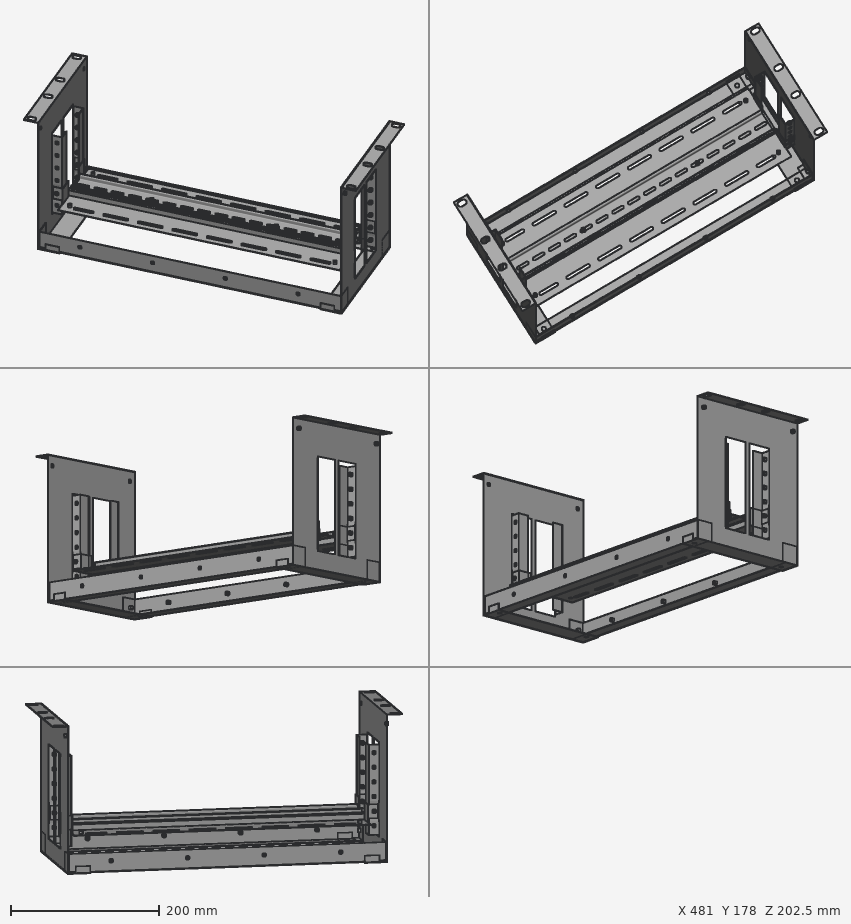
import cadquery as cq

length = 481.0
depth = 178.0
height = 202.5
sheet = 1.0

ear_width = 20.5
foot_width = 31.0
web_x = -length / 2 + ear_width
web_inner_x = web_x + sheet
lip_start = 10.5
lip_height = 10.0

rack_slot_length = 12.5
rack_slot_width = 7.5
rack_slot_inset = 9.0
rack_slot_inner_y = 22.0
rack_slot_outer_y = 82.3

window_bottom = 26.0
window_top = 155.5
window_inner_y = 3.6
window_outer_y = 38.5
window_gap = 3.0

post_face_y = window_outer_y + sheet
post_leg_x = 14.5
post_end_y = 22.5
post_bottom = window_bottom + window_gap
post_top = window_top - window_gap
post_hole_first_z = 41.5
post_hole_last_z = 141.5
post_hole_count = 6
post_hole_pitch = (post_hole_last_z - post_hole_first_z) / (post_hole_count - 1)
post_hole_x = web_inner_x + (post_leg_x - sheet) / 2
bracket_hole = 1
bracket_z = post_hole_first_z + bracket_hole * post_hole_pitch

joggle_depth = 0.5
joggle_flat = 19.0
joggle_slope = 4.5

bush_diameter = 5.5
bush_hole = 3.0
bush_height = 3.5
web_bush_height = 3.0
web_bush_y = 79.5
web_bush_z = height - 14.5

rail_y = -depth / 2 + sheet
rail_top = 27.5
rail_width = 18.8
rail_end = web_inner_x
rail_tab_width = 24.5
rail_foot_length = lip_start - sheet
rail_bush_offset = -2.0
rail_bush_pitch = 105.5
rail_bush_count = 4
rail_bush_z = 16.0
corner_y = -depth / 2 + 11.5
corner_hole_x = 199.5
corner_hole_diameter = 6.0
corner_stud_z = 14.5

plate_length = 408.0
plate_width = 111.5
plate_bottom = 45.5
plate_rise = 9.0
plate_middle_width = 33.5
wing_bush_x = 192.0
wing_bush_y = 42.5
wing_slot_y = 44.0
wing_slot_width = 4.5
wing_slot_length = 36.0
wing_end_slot_length = 29.0
wing_slot_pitch = 50.0
wing_slot_count = 8
bracket_clearance = 1.5
bracket_end_y = 18.5
stud_overhang = 1.5
stud_head_diameter = 6.0
stud_head_height = 0.5
middle_bush_x = 90.0

hat_length = 401.0
hat_width = 34.5
hat_channel = 26.5
hat_bend = 1.0
hat_height = 7.0
hat_sheet = 1.0
hat_slot_length = 18.0
hat_slot_width = 4.5
hat_slot_pitch = 25.0
hat_slot_count = 16
hat_slot_offset = -2.0
hat_bush_clearance = 6.5
hat_bottom = plate_bottom + plate_rise


def block(x0, x1, y0, y1, z0, z1):
    """Box between the given limits."""
    return cq.Workplane("XY").box(x1 - x0, y1 - y0, z1 - z0, centered=False).translate((x0, y0, z0))


def rod(start, direction, diameter, reach):
    """Cylinder starting at a point and running along a direction."""
    return cq.Workplane(cq.Solid.makeCylinder(diameter / 2, reach, cq.Vector(*start), cq.Vector(*direction)))


def slot(x, y, slot_length, slot_width, z0, z1):
    """Round-ended cutter running along X."""
    return (cq.Workplane("XY", origin=(x, y, z0))
            .slot2D(slot_length, slot_width).extrude(z1 - z0))


def add_bush(body, face, direction, reach=bush_height):
    """Bush standing on a sheet at the point face, bored through the bush and the sheet."""
    back = tuple(f - d * sheet for f, d in zip(face, direction))
    body = body.union(rod(face, direction, bush_diameter, reach))
    return body.cut(rod(back, direction, bush_hole, sheet + reach))


def mirrored_pair(body, plane):
    """The body joined to its mirror image."""
    return body.union(body.mirror(plane))


def row(count, pitch, middle=0.0):
    """Evenly spaced positions around a middle."""
    return [middle + (i - (count - 1) / 2) * pitch for i in range(count)]


def front_post():
    """Front L-shaped post of the left side plate, joggled inwards behind the bracket."""
    face_y = -post_face_y
    corner_x = web_inner_x + post_leg_x
    flat = joggle_flat / 2
    ramp = flat + joggle_slope
    outline = [(face_y, post_bottom), (face_y, bracket_z - ramp),
               (face_y + joggle_depth, bracket_z - flat), (face_y + joggle_depth, bracket_z + flat),
               (face_y, bracket_z + ramp), (face_y, post_top)]
    back = [(y + sheet, z) for y, z in reversed(outline)]
    fixing_leg = (cq.Workplane("YZ", origin=(web_inner_x, 0, 0))
                  .polyline(outline + back).close().extrude(post_leg_x))
    recess = (cq.Workplane("YZ", origin=(web_inner_x, 0, 0))
              .polyline(outline[1:5]).close().extrude(post_leg_x))
    stiffening_leg = block(corner_x - sheet, corner_x, face_y, -post_end_y, post_bottom, post_top)
    post = fixing_leg.union(stiffening_leg.cut(recess))
    for i in range(post_hole_count):
        z = post_hole_first_z + i * post_hole_pitch
        inner_y = face_y + sheet
        if i == bracket_hole:
            inner_y += joggle_depth
        post = add_bush(post, (post_hole_x, inner_y, z), (0, 1, 0))
    return post


def left_side_plate():
    """Rack flange, windowed web, foot and posts in one folded sheet."""
    y = depth / 2
    web = block(web_x, web_inner_x, -y, y, 0, height)
    ear = block(-length / 2, web_x, -y, y, height - sheet, height)
    foot = block(web_x, web_x + foot_width, -y, y, 0, sheet)
    plate = web.union(ear).union(foot)

    slot_x = -length / 2 + rack_slot_inset
    for slot_y in (-rack_slot_outer_y, -rack_slot_inner_y, rack_slot_inner_y, rack_slot_outer_y):
        plate = plate.cut(slot(slot_x, slot_y, rack_slot_length, rack_slot_width, height - sheet, height))
    for y0, y1 in ((-window_outer_y, -window_inner_y), (window_inner_y, window_outer_y)):
        plate = plate.cut(block(web_x, web_inner_x, y0, y1, window_bottom, window_top))
    for bush_y in (-web_bush_y, web_bush_y):
        plate = add_bush(plate, (web_x, bush_y, web_bush_z), (-1, 0, 0), web_bush_height)

    front_lip = block(web_x + lip_start, web_x + foot_width, -y, -y + sheet, 0, lip_height)
    plate = plate.union(mirrored_pair(front_lip, "XZ"))
    return plate.union(mirrored_pair(front_post(), "XZ"))


def front_rail():
    """Angle rail with end tabs that carry the fixing studs."""
    wall = block(rail_end, -rail_end, rail_y, rail_y + sheet, sheet, rail_top)
    floor = block(rail_end, -rail_end, rail_y, rail_y + rail_width, sheet, 2 * sheet)
    tab_y = rail_y + rail_tab_width
    tab = block(rail_end, rail_end + sheet, rail_y, tab_y, sheet, rail_top)
    tab_foot = block(rail_end, rail_end + rail_foot_length, rail_y, tab_y, 2 * sheet, 3 * sheet)
    stud = rod((rail_end + sheet, corner_y, corner_stud_z), (1, 0, 0), bush_diameter, bush_height)
    end = tab.union(tab_foot).union(stud)
    rail = wall.union(floor).union(mirrored_pair(end, "YZ"))

    for x in (-corner_hole_x, corner_hole_x):
        rail = rail.cut(rod((x, corner_y, sheet), (0, 0, 1), corner_hole_diameter, sheet))
    for x in row(rail_bush_count, rail_bush_pitch, rail_bush_offset):
        rail = add_bush(rail, (x, rail_y + sheet, rail_bush_z), (0, 1, 0))
    return rail


def corner_bracket():
    """Front left upright of the mounting plate, wrapped around the post."""
    x = -plate_length / 2
    seat_y = -post_face_y + joggle_depth
    face_y = seat_y - sheet
    top = bracket_z + joggle_flat / 2
    end_wall = block(x, x + sheet, face_y, -bracket_end_y, plate_bottom, top)
    ear = block(web_inner_x + bracket_clearance, x + sheet, face_y, seat_y,
                bracket_z - joggle_flat / 2, top)
    stud_reach = 2 * sheet + bush_height + stud_overhang
    stud = rod((post_hole_x, face_y, bracket_z), (0, 1, 0), bush_hole, stud_reach)
    head = rod((post_hole_x, face_y, bracket_z), (0, -1, 0), stud_head_diameter, stud_head_height)
    return end_wall.union(ear).union(stud).union(head)


def mounting_plate():
    """Two slotted wings joined by a raised middle, with a bracket at each corner."""
    x = plate_length / 2
    half = plate_middle_width / 2
    wing_top = plate_bottom + sheet
    wing = block(-x, x, -plate_width / 2, -half + sheet, plate_bottom, wing_top)
    riser = block(-x, x, -half, -half + sheet, plate_bottom, hat_bottom)
    middle = block(-x, x, -half, half, hat_bottom - sheet, hat_bottom)

    slot_places = row(wing_slot_count, wing_slot_pitch)
    trim = (wing_slot_length - wing_end_slot_length) / 2
    for slot_x in slot_places[1:-1]:
        wing = wing.cut(slot(slot_x, -wing_slot_y, wing_slot_length, wing_slot_width, plate_bottom, wing_top))
    for slot_x in (slot_places[0] + trim, slot_places[-1] - trim):
        wing = wing.cut(slot(slot_x, -wing_slot_y, wing_end_slot_length, wing_slot_width,
                             plate_bottom, wing_top))
    for bush_x in (-wing_bush_x, wing_bush_x):
        wing = add_bush(wing, (bush_x, -wing_bush_y, wing_top), (0, 0, 1))

    front_half = wing.union(riser).union(mirrored_pair(corner_bracket(), "YZ"))
    plate = mirrored_pair(front_half, "XZ").union(middle)
    for bush_x in (-middle_bush_x, middle_bush_x):
        plate = add_bush(plate, (bush_x, 0, hat_bottom), (0, 0, 1))
    return plate


def top_hat_rail():
    """Slotted top-hat rail fixed on the raised middle of the mounting plate."""
    inner = hat_channel / 2
    outer = inner + hat_sheet
    tip = hat_width / 2
    floor = hat_bottom + hat_sheet
    top = hat_bottom + hat_height
    underlip = top - hat_sheet
    bend = hat_bend
    outer_bend = hat_bend + hat_sheet
    rail = (cq.Workplane("YZ", origin=(-hat_length / 2, 0, 0))
            .moveTo(0, hat_bottom)
            .lineTo(outer - outer_bend, hat_bottom)
            .radiusArc((outer, hat_bottom + outer_bend), -outer_bend)
            .lineTo(outer, underlip - bend)
            .radiusArc((outer + bend, underlip), bend)
            .lineTo(tip, underlip)
            .lineTo(tip, top)
            .lineTo(inner + outer_bend, top)
            .radiusArc((inner, top - outer_bend), -outer_bend)
            .lineTo(inner, floor + bend)
            .radiusArc((inner - bend, floor), bend)
            .lineTo(0, floor)
            .close().extrude(hat_length))
    rail = mirrored_pair(rail, "XZ")
    for x in row(hat_slot_count, hat_slot_pitch, hat_slot_offset):
        rail = rail.cut(slot(x, 0, hat_slot_length, hat_slot_width, hat_bottom, hat_bottom + hat_sheet))
    for x in (-middle_bush_x, middle_bush_x):
        rail = rail.cut(rod((x, 0, hat_bottom), (0, 0, 1), hat_bush_clearance, hat_sheet))
    return rail


left_plate = left_side_plate()
side_plates = [left_plate, left_plate.mirror("YZ")]
rails = [front_rail().rotate((0, 0, 0), (0, 0, 1), angle) for angle in (0, 180)]
plate = mounting_plate()
hat_rail = top_hat_rail()

result = cq.Compound.makeCompound(
    [body.val() for body in side_plates + rails + [plate, hat_rail]])